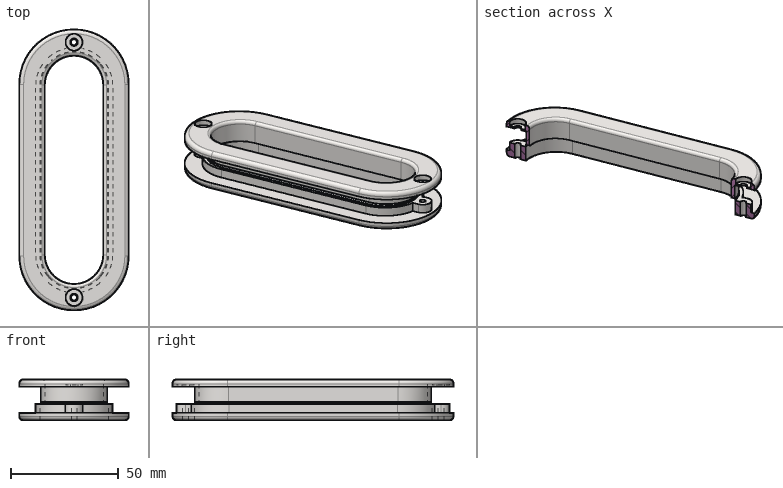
import cadquery as cq

length = 130.2
width = 50.8
height = 19.0
flange_thickness = 3.5
edge_radius = 2.0
flange_center_y = (length - width) / 2

tube_width = 31.0
tube_center_y = 39.3
opening_width = 27.0
mouth_radius = 1.5
tube_bottom_z = 8.5
flange_bottom_z = height - flange_thickness

collar_width = 35.7
collar_center_y = 38.9
socket_width = 31.9
collar_top_z = 7.7

screw_y = 59.1
boss_diameter = 8.3
pilot_diameter = 2.7
clearance_diameter = 3.5
head_diameter = 7.8
head_depth = 2.5


def stadium(across, center_y, bottom_z, top_z):
    """Upright round-ended block, long along Y, with end arcs centred at +/- center_y."""
    return (
        cq.Workplane("XY", origin=(0, 0, bottom_z))
        .slot2D(2 * center_y + across, across, 90)
        .extrude(top_z - bottom_z)
    )


def screw_cylinders(diameter, bottom_z, top_z):
    """A cylinder at each of the two screw positions."""
    return (
        cq.Workplane("XY", origin=(0, 0, bottom_z))
        .pushPoints([(0, -screw_y), (0, screw_y)])
        .circle(diameter / 2)
        .extrude(top_z - bottom_z)
    )


def make_upper_frame():
    flange = stadium(width, flange_center_y, flange_bottom_z, height)
    flange = flange.faces(">Z").edges().fillet(edge_radius)
    tube = stadium(tube_width, tube_center_y, tube_bottom_z, flange_bottom_z)
    frame = flange.union(tube)
    frame = frame.cut(stadium(opening_width, tube_center_y, tube_bottom_z, height))
    mouth_edges = frame.faces(">Z").val().innerWires()[0].Edges()
    frame = frame.newObject(mouth_edges).fillet(mouth_radius)
    frame = frame.cut(screw_cylinders(clearance_diameter, flange_bottom_z, height))
    return frame.cut(screw_cylinders(head_diameter, height - head_depth, height))


def make_lower_frame():
    flange = stadium(width, flange_center_y, 0, flange_thickness)
    flange = flange.faces("<Z").edges().fillet(edge_radius)
    collar = stadium(collar_width, collar_center_y, flange_thickness, collar_top_z)
    bosses = screw_cylinders(boss_diameter, flange_thickness, collar_top_z)
    webs = (
        cq.Workplane("XY", origin=(0, 0, flange_thickness))
        .rect(boss_diameter, 2 * screw_y)
        .extrude(collar_top_z - flange_thickness)
    )
    frame = flange.union(collar).union(webs).union(bosses)
    frame = frame.cut(stadium(socket_width, collar_center_y, 0, collar_top_z))
    return frame.cut(screw_cylinders(pilot_diameter, 0, collar_top_z))


upper_frame = make_upper_frame()
lower_frame = make_lower_frame()

result = cq.Compound.makeCompound([upper_frame.val(), lower_frame.val()])